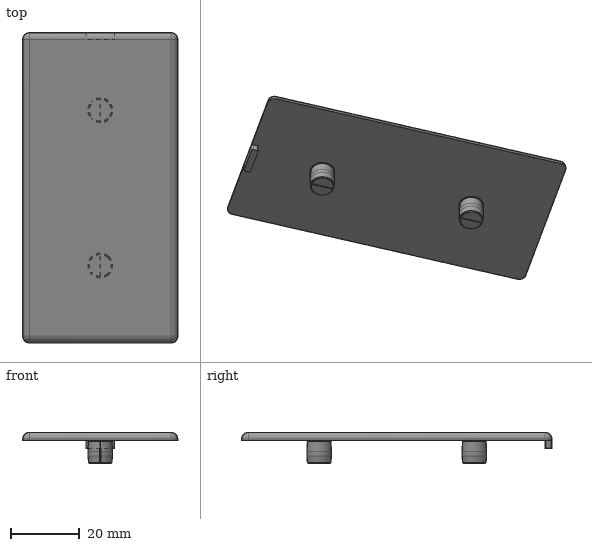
import cadquery as cq

length = 90.0
width = length / 2
total_height = 9.0
plate_thickness = 2.4
edge_radius = 2.0

post_height = total_height - plate_thickness
post_spacing = length / 2
post_radius = 3.4
barb_radius = 3.6
barb_top = 3.4
barb_bottom = 2.1
tip_chamfer = 0.3
root_flare = 0.2
slit_width = 0.3

tab_width = 8.4
tab_depth = 2.0
tab_height = 2.25
tab_corner_radius = 0.45


def make_plate():
    """Flat plate with rounded upright corners and a rounded top edge."""
    plate = cq.Workplane("XY").box(width, length, plate_thickness, centered=(True, True, False))
    return plate.edges("|Z or >Z").fillet(edge_radius)


def make_post(y):
    """Round post with a shallow tapered barb and a flared root, split lengthwise along Y."""
    tip_z = -post_height
    profile = (
        cq.Workplane("XZ")
        .moveTo(0, 0)
        .lineTo(post_radius + root_flare, 0)
        .lineTo(post_radius, -root_flare)
        .lineTo(barb_radius, tip_z + barb_top)
        .lineTo(barb_radius, tip_z + barb_bottom)
        .lineTo(post_radius, tip_z + tip_chamfer)
        .lineTo(post_radius - tip_chamfer, tip_z)
        .lineTo(0, tip_z)
        .close()
    )
    post = profile.revolve(360, (0, 0, 0), (0, 1, 0))
    slit = cq.Workplane("XY").box(slit_width, 2 * barb_radius, post_height).translate((0, 0, tip_z / 2))
    return post.cut(slit).translate((0, y, 0))


def make_tab():
    """Small block flush with the +Y side of the plate, with rounded upright corners."""
    tab = cq.Workplane("XY").box(tab_width, tab_depth, tab_height)
    tab = tab.edges("|Z").fillet(tab_corner_radius)
    return tab.translate((0, (length - tab_depth) / 2, -tab_height / 2))


result = make_plate().union(make_tab())
for post_y in (-post_spacing / 2, post_spacing / 2):
    result = result.union(make_post(post_y))